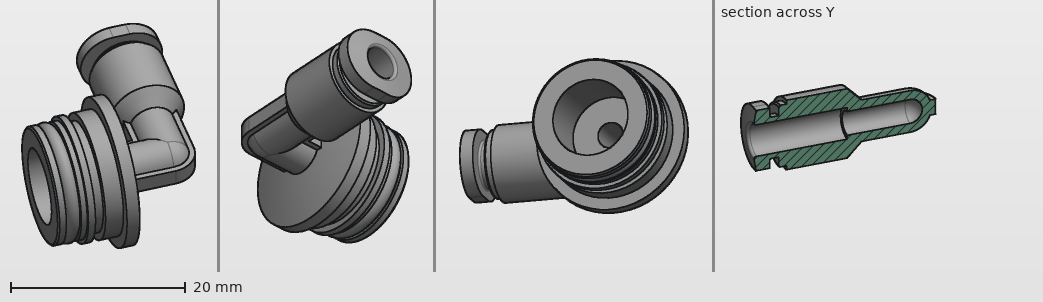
import cadquery as cq
import math


elbow_radius = 5.4 / 2
web_thickness = 2.0
web_reach = 3.2
bore_radius = 3.0 / 2

arm_end_x = -19.39
release_ring_length = 2.0
ring_back_x = arm_end_x + release_ring_length
collar_start_x = -16.33
body_start_x = -15.35
cone_end_x = -5.98
stem_radius = 5.4 / 2
stem_fillet = 0.25
collar_radius = 8.0 / 2
collar_chamfer = 0.2
body_radius = 9.0 / 2
cone_start_x = cone_end_x - (body_radius - elbow_radius)

ring_width = 9.8
ring_height = 7.8
ring_face_drop = 0.45
tube_radius = 4.0 / 2
mouth_radius = 0.35
tube_stop_x = cone_start_x

plug_end_y = -15.3
flange_radius = 17.7 / 2
shoulder_radius = 14.95 / 2
clip_groove_radius = 13.15 / 2
nose_radius = 14.0 / 2
nose_chamfer = 0.2
plug_bore_radius = 9.0 / 2
flange_top_y = -6.05
flange_bottom_y = -7.6
clip_groove_top_y = -9.75
clip_groove_bottom_y = -10.95
shoulder_end_y = -11.8
seal_top_y = -12.5
seal_bottom_y = -14.3
dome_height = 1.1
seal_outer_radius = 7.1
seal_section_radius = 0.95


def cylinder_x(radius, start_x, end_x):
    return cq.Workplane("YZ", origin=(start_x, 0, 0)).circle(radius).extrude(end_x - start_x)


def cylinder_y(radius, start_y, end_y):
    return cq.Workplane("XZ", origin=(0, start_y, 0)).circle(radius).extrude(start_y - end_y)


def revolve_x(outline):
    return outline.close().revolve(360, (0, 0, 0), (1, 0, 0))


def make_elbow_pipe(radius, left_x, lower_y):
    """Two pipes meeting at the origin, with a ball rounding the outer corner."""
    ball = cq.Workplane("XY").sphere(radius)
    return cylinder_x(radius, left_x, 0).union(cylinder_y(radius, 0, lower_y)).union(ball)


def make_web():
    outer_arc_mid = web_reach * math.sqrt(0.5)
    outline = (
        cq.Workplane("XY", origin=(0, 0, -web_thickness / 2))
        .moveTo(cone_start_x, web_reach)
        .lineTo(0, web_reach)
        .threePointArc((outer_arc_mid, outer_arc_mid), (web_reach, 0))
        .lineTo(web_reach, flange_top_y)
        .lineTo(-web_reach, flange_top_y)
        .lineTo(-web_reach, -web_reach)
        .lineTo(cone_start_x, -web_reach)
        .close()
    )
    return outline.extrude(web_thickness)


def make_arm():
    """Stem, collar, body and cone, turned about the X axis."""
    fillet_mid = stem_fillet * (1 - math.sqrt(0.5))
    return revolve_x(
        cq.Workplane("XY")
        .moveTo(ring_back_x, 0)
        .lineTo(ring_back_x, stem_radius + stem_fillet)
        .threePointArc(
            (ring_back_x + fillet_mid, stem_radius + fillet_mid),
            (ring_back_x + stem_fillet, stem_radius),
        )
        .lineTo(collar_start_x, stem_radius)
        .lineTo(collar_start_x, collar_radius - collar_chamfer)
        .lineTo(collar_start_x + collar_chamfer, collar_radius)
        .lineTo(body_start_x, collar_radius)
        .lineTo(body_start_x, body_radius)
        .lineTo(cone_start_x, body_radius)
        .lineTo(cone_end_x, elbow_radius)
        .lineTo(cone_end_x, 0)
    )


def make_release_ring():
    blank = (
        cq.Workplane("YZ", origin=(arm_end_x, 0, 0))
        .slot2D(ring_width, ring_height)
        .extrude(release_ring_length)
    )
    mouth_edge = tube_radius + mouth_radius
    widest = ring_width / 2
    face_envelope = revolve_x(
        cq.Workplane("XY")
        .moveTo(arm_end_x, 0)
        .lineTo(arm_end_x, mouth_edge)
        .lineTo(arm_end_x + ring_face_drop, widest)
        .lineTo(ring_back_x, widest)
        .lineTo(ring_back_x, 0)
    )
    return blank.intersect(face_envelope)


def make_tube_socket():
    """Cutter for the tube socket with its rounded mouth."""
    arc_offset = mouth_radius * (1 - math.sqrt(0.5))
    return revolve_x(
        cq.Workplane("XY")
        .moveTo(arm_end_x, 0)
        .lineTo(arm_end_x, tube_radius + mouth_radius)
        .threePointArc(
            (arm_end_x + arc_offset, tube_radius + arc_offset),
            (arm_end_x + mouth_radius, tube_radius),
        )
        .lineTo(tube_stop_x, tube_radius)
        .lineTo(tube_stop_x, 0)
    )


def make_plug():
    """Domed flange, clip groove and sealed nose, turned about the Y axis."""
    dome_radius = (flange_radius**2 + dome_height**2) / (2 * dome_height)
    dome_top_y = flange_top_y + dome_height
    dome_mid_x = flange_radius / 2
    dome_mid_y = dome_top_y - dome_radius + math.sqrt(dome_radius**2 - dome_mid_x**2)

    seal_mid_y = (seal_top_y + seal_bottom_y) / 2
    seal_half_width = (seal_top_y - seal_bottom_y) / 2
    seal_centre_radius = seal_outer_radius - seal_section_radius
    seal_edge_radius = seal_centre_radius + math.sqrt(seal_section_radius**2 - seal_half_width**2)

    return (
        cq.Workplane("XY")
        .moveTo(0, dome_top_y)
        .threePointArc((dome_mid_x, dome_mid_y), (flange_radius, flange_top_y))
        .lineTo(flange_radius, flange_bottom_y)
        .lineTo(shoulder_radius, flange_bottom_y)
        .lineTo(shoulder_radius, clip_groove_top_y)
        .lineTo(clip_groove_radius, clip_groove_top_y)
        .lineTo(clip_groove_radius, clip_groove_bottom_y)
        .lineTo(shoulder_radius, clip_groove_bottom_y)
        .lineTo(shoulder_radius, shoulder_end_y)
        .lineTo(nose_radius, shoulder_end_y)
        .lineTo(nose_radius, seal_top_y)
        .lineTo(seal_edge_radius, seal_top_y)
        .threePointArc((seal_outer_radius, seal_mid_y), (seal_edge_radius, seal_bottom_y))
        .lineTo(nose_radius, seal_bottom_y)
        .lineTo(nose_radius, plug_end_y + nose_chamfer)
        .lineTo(nose_radius - nose_chamfer, plug_end_y)
        .lineTo(0, plug_end_y)
        .close()
        .revolve(360, (0, 0, 0), (0, 1, 0))
    )


fitting = (
    make_elbow_pipe(elbow_radius, cone_end_x, flange_top_y)
    .union(make_web())
    .union(make_arm())
    .union(make_release_ring())
    .union(make_plug())
)

plug_bore = cylinder_y(plug_bore_radius, flange_bottom_y, plug_end_y)
result = (
    fitting
    .cut(make_elbow_pipe(bore_radius, tube_stop_x, flange_bottom_y))
    .cut(make_tube_socket())
    .cut(plug_bore)
)